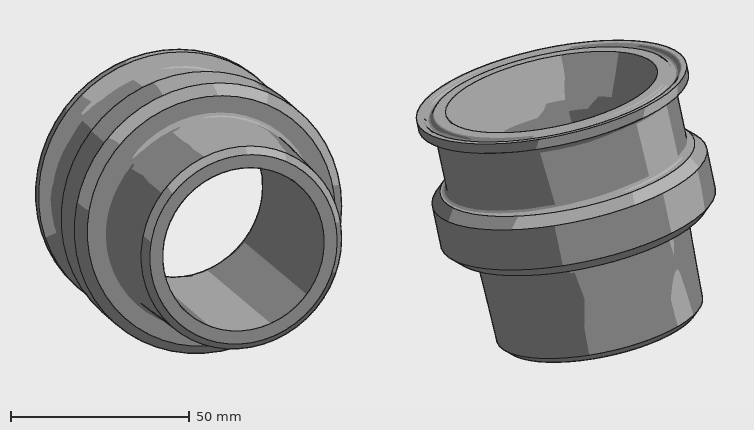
import cadquery as cq
import math

length = 70.6
flange_rim = 2.8
collar_start = 22.8
collar_end = 40.8
pipe_taper_start = 43.6
end_chamfer_length = 2.0

flange_radius = 77.4 / 2
tube_radius = 68.8 / 2
collar_radius = 78.75 / 2
pipe_radius = 60.6 / 2

collar_chamfer = 2.9
flange_slope = 20
neck_fillet = 1.6
collar_fillet = 1.4
pipe_fillet = 1.4
end_chamfer_height = 2.0
taper_per_length = 1 / 32

mouth_radius = 60.6 / 2
bore_radius = 47.5 / 2
cone_length = 12.9
throat_blend = 7.0

groove_centre_radius = 35.4
groove_half_width = 1.5
groove_half_angle = 30
groove_bottom_fillet = 1.2
groove_lip_fillet = 0.6

slope_tangent = math.tan(math.radians(flange_slope))
flange_foot = flange_rim + (flange_radius - tube_radius) * slope_tangent
end_chamfer_start = length - end_chamfer_length
taper_end_radius = pipe_radius - (end_chamfer_start - pipe_taper_start) * taper_per_length


def revolve_about_x(profile):
    return profile.close().revolve(360, (0, 0, 0), (1, 0, 0))


def fillet_ring(solid, station, radius, fillet):
    """Round the one circular edge of the given radius at this station along X."""
    margin = 0.1
    ring = cq.selectors.BoxSelector(
        (station - margin, -radius - margin, -radius - margin),
        (station + margin, radius + margin, radius + margin),
        boundingbox=True,
    )
    edge = solid.edges(ring).edges(cq.selectors.RadiusNthSelector(-1))
    return edge.fillet(fillet)


def outer_body():
    shoulder_radius = collar_radius - collar_chamfer
    profile = (
        cq.Workplane("XY")
        .lineTo(0, flange_radius)
        .lineTo(flange_rim, flange_radius)
        .lineTo(flange_foot, tube_radius)
        .lineTo(collar_start, tube_radius)
        .lineTo(collar_start, shoulder_radius)
        .lineTo(collar_start + collar_chamfer, collar_radius)
        .lineTo(collar_end - collar_chamfer, collar_radius)
        .lineTo(collar_end, shoulder_radius)
        .lineTo(collar_end, pipe_radius)
        .lineTo(pipe_taper_start, pipe_radius)
        .lineTo(end_chamfer_start, taper_end_radius)
        .lineTo(length, taper_end_radius - end_chamfer_height)
        .lineTo(length, 0)
    )
    body = revolve_about_x(profile)
    body = fillet_ring(body, flange_foot, tube_radius, neck_fillet)
    body = fillet_ring(body, collar_start, tube_radius, collar_fillet)
    return fillet_ring(body, collar_end, pipe_radius, pipe_fillet)


def bore():
    profile = (
        cq.Workplane("XY")
        .lineTo(0, mouth_radius)
        .lineTo(cone_length, bore_radius)
        .lineTo(length, bore_radius)
        .lineTo(length, 0)
    )
    return fillet_ring(revolve_about_x(profile), cone_length, bore_radius, throat_blend)


def gasket_groove():
    sharp_depth = groove_half_width / math.tan(math.radians(groove_half_angle))
    profile = (
        cq.Workplane("XY")
        .moveTo(0, groove_centre_radius - groove_half_width)
        .lineTo(sharp_depth, groove_centre_radius)
        .lineTo(0, groove_centre_radius + groove_half_width)
    )
    ring = revolve_about_x(profile)
    return fillet_ring(ring, sharp_depth, groove_centre_radius, groove_bottom_fillet)


result = outer_body().cut(bore()).cut(gasket_groove())
for side in (-1, 1):
    lip_radius = groove_centre_radius + side * groove_half_width
    result = fillet_ring(result, 0, lip_radius, groove_lip_fillet)